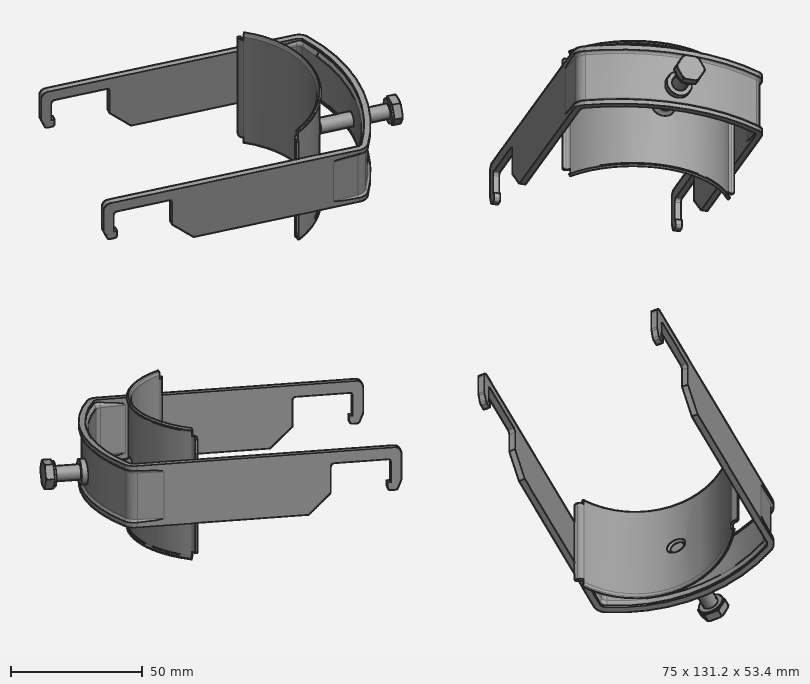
import cadquery as cq
import math


bracket_width = 75.0
strip_thickness = 2.5
bracket_top_z = 15.2
bracket_bottom_z = -9.7
crown_y = 116.0
crown_radius = 72.2
corner_radius = 5.0

press_depth = 1.0
panel_end_y = 92.2
outer_rim_height = 2.0
inner_rim_height = 0.8
outer_press_radius = 1.0
inner_press_radius = 2.1

arm_bottom_end_y = 36.1
slot_start_y = 27.4
slot_end_y = 4.1
slot_top_z = 10.5
slot_radius = 1.3
hook_radius = 2.8
arm_corner_z = -1.5
hook_slant_z = 2.0
hook_slant_y = 1.7
hook_bottom_z = -2.1
lip_y = 5.4
lip_top_z = 1.2
lip_radius = 1.2
slant_radius = 2.6

collar_diameter = 10.0
collar_top_y = 117.2

shank_diameter = 6.0
tip_diameter = 5.5
head_flats = 10.0
head_top_y = 131.2
head_bottom_y = 127.8
head_chamfer = 0.4
flange_diameter = 10.0
flange_bottom_y = 127.0

sheet_thickness = 1.0
saddle_height = 53.4
saddle_crest_y = 97.5
saddle_radius = 37.5
saddle_half_angle = 57.4
flare_projection = 0.7
flare_radius = 1.5
tab_height = 47.0
tab_end_x = 34.2
tab_bend_radius = 1.7
tab_corner_chamfer = 0.7

neck_top_y = 99.3
neck_base_diameter = 9.5
recess_diameter = 7.6
recess_depth = 0.8
saddle_inner_y = saddle_crest_y - sheet_thickness
tip_y = saddle_inner_y + recess_depth


def crown_block(inset, press=0.0):
    """Filled outline of the bent strip, full height, offset inward by inset.

    With a press depth, the crown lies deeper by that depth and the sides lean out to no depth
    at the end of the panel.
    """
    radius = crown_radius - inset - press
    center_y = crown_y - crown_radius
    half_width = bracket_width / 2 - inset
    shoulder_x = half_width - press
    shoulder_y = center_y + math.sqrt(radius**2 - shoulder_x**2)
    block = (
        cq.Workplane("XY", origin=(0, 0, bracket_bottom_z))
        .moveTo(-half_width, 0)
        .lineTo(-half_width, panel_end_y)
        .lineTo(-shoulder_x, shoulder_y)
        .threePointArc((0, center_y + radius), (shoulder_x, shoulder_y))
        .lineTo(half_width, panel_end_y)
        .lineTo(half_width, 0)
        .close()
        .extrude(bracket_top_z - bracket_bottom_z)
    )
    shoulders = cq.selectors.BoxSelector(
        (-bracket_width, shoulder_y - 0.1, bracket_bottom_z - 1.3),
        (bracket_width, shoulder_y + 0.1, bracket_top_z + 1.3),
    )
    return block.edges("|Z").edges(shoulders).fillet(corner_radius - inset)


def pressed_block(inset, rim_height, press_radius):
    """Filled strip outline whose middle band is pressed in, with rounded steps next to the rims."""
    blank = (
        cq.Workplane("XY", origin=(0, 0, bracket_bottom_z + rim_height))
        .rect(2 * bracket_width, 4 * crown_y)
        .extrude(bracket_top_z - bracket_bottom_z - 2 * rim_height)
    )
    die = blank.cut(crown_block(inset, press_depth)).faces("|Z").edges().fillet(press_radius)
    return crown_block(inset).cut(die)


def hook_profile():
    """Side outline of an arm, from the crown to the hook, extruded across the whole bracket."""
    profile = (
        cq.Workplane("YZ")
        .moveTo(crown_y, bracket_bottom_z)
        .lineTo(arm_bottom_end_y, bracket_bottom_z)
        .lineTo(slot_start_y, arm_corner_z)
        .lineTo(slot_start_y, slot_top_z)
        .lineTo(slot_end_y, slot_top_z)
        .lineTo(slot_end_y, lip_top_z)
        .lineTo(lip_y, lip_top_z)
        .lineTo(lip_y, hook_bottom_z)
        .lineTo(hook_slant_y, hook_bottom_z)
        .lineTo(0, hook_slant_z)
        .lineTo(0, bracket_top_z)
        .lineTo(crown_y, bracket_top_z)
        .close()
        .extrude(bracket_width / 2, both=True)
    )
    rounded_corners = [
        (slot_start_y, slot_top_z, slot_radius),
        (slot_end_y, slot_top_z, slot_radius),
        (0, bracket_top_z, hook_radius),
        (0, hook_slant_z, slant_radius),
        (lip_y, hook_bottom_z, lip_radius),
        (hook_slant_y, hook_bottom_z, lip_radius),
    ]
    for y, z, radius in rounded_corners:
        profile = profile.edges(cq.selectors.NearestToPointSelector((0, y, z))).fillet(radius)
    return profile


def cylinder_y(diameter, start_y, end_y):
    """Cylinder on the screw axis."""
    return cq.Workplane("XZ", origin=(0, end_y, 0)).circle(diameter / 2).extrude(end_y - start_y)


def make_bracket():
    """Bent strip with the pressed panel, the hooked arms and the collar for the screw."""
    outside = pressed_block(0, outer_rim_height, outer_press_radius)
    cavity = pressed_block(strip_thickness, inner_rim_height, inner_press_radius)
    collar = cylinder_y(collar_diameter, crown_y - strip_thickness, collar_top_y)
    strip = outside.cut(cavity).intersect(hook_profile())
    return strip.union(collar).cut(cylinder_y(shank_diameter, saddle_crest_y, collar_top_y))


def at_height(z):
    """Selector for the edges of the curved sheet that lie at one height."""
    reach = 2 * saddle_radius
    slack = 0.03
    return cq.selectors.BoxSelector((-reach, -reach, z - slack), (reach, reach, z + slack))


def saddle_arc():
    """Curved sheet, swept from its cross-section with both rims flared outward at 45 degrees."""
    outer = saddle_radius
    inner = saddle_radius - sheet_thickness
    top = saddle_height / 2
    end_step = sheet_thickness * math.sqrt(0.5)
    lip_outer = outer + flare_projection
    center_y = saddle_crest_y - saddle_radius
    lip_inner = lip_outer - end_step
    lip_z = top - end_step
    bend_z = lip_z - flare_projection
    inner_bend_z = top - (lip_inner - inner)
    section = (
        cq.Workplane("YZ")
        .polyline(
            [
                (outer, -bend_z),
                (outer, bend_z),
                (lip_outer, lip_z),
                (lip_inner, top),
                (inner, inner_bend_z),
                (inner, -inner_bend_z),
                (lip_inner, -top),
                (lip_outer, -lip_z),
            ]
        )
        .close()
    )
    sheet = section.revolve(2 * saddle_half_angle, (0, 0, 0), (0, 1, 0))
    for side in (-1, 1):
        sheet = sheet.edges(at_height(side * inner_bend_z)).fillet(flare_radius)
        sheet = sheet.edges(at_height(side * bend_z)).fillet(flare_radius - sheet_thickness)
    return sheet.rotate((0, 0, 0), (0, 0, 1), -saddle_half_angle).translate((0, center_y, 0))


def saddle_tab():
    """Tab on the +X end of the sheet: a bend from the arc, then a flat that points along +X."""
    angle = math.radians(saddle_half_angle)
    center_y = saddle_crest_y - saddle_radius
    pivot_x = (saddle_radius + tab_bend_radius) * math.sin(angle)
    pivot_y = center_y + (saddle_radius + tab_bend_radius) * math.cos(angle)

    def bend_point(radius, turn):
        return (pivot_x - radius * math.sin(turn), pivot_y - radius * math.cos(turn))

    small = tab_bend_radius
    large = tab_bend_radius + sheet_thickness
    tab = (
        cq.Workplane("XY", origin=(0, 0, -tab_height / 2))
        .moveTo(*bend_point(small, angle))
        .threePointArc(bend_point(small, angle / 2), bend_point(small, 0))
        .lineTo(tab_end_x, pivot_y - small)
        .lineTo(tab_end_x, pivot_y - large)
        .lineTo(*bend_point(large, 0))
        .threePointArc(bend_point(large, angle / 2), bend_point(large, angle))
        .close()
        .extrude(tab_height)
    )
    return tab.faces(">X").edges("|Y").chamfer(tab_corner_chamfer)


def cone_y(start_diameter, start_y, end_diameter, end_y):
    """Cone frustum on the screw axis."""
    profile = [(0, start_y), (start_diameter / 2, start_y), (end_diameter / 2, end_y), (0, end_y)]
    return cq.Workplane("XY").polyline(profile).close().revolve(360, (0, 0, 0), (0, 1, 0))


def make_screw():
    """Hex-head screw with a flange below the head and a chamfered tip inside the saddle."""
    head_corners = head_flats / math.cos(math.radians(30))
    hexagon = (
        cq.Workplane("XZ", origin=(0, head_top_y, 0))
        .polygon(6, head_corners)
        .extrude(head_top_y - head_bottom_y)
    )
    chamfered_disc = cylinder_y(head_corners, head_bottom_y, head_top_y).faces(">Y").chamfer(head_chamfer)
    head = hexagon.intersect(chamfered_disc)
    flange = cylinder_y(flange_diameter, flange_bottom_y, head_bottom_y)
    tip_chamfer = (shank_diameter - tip_diameter) / 2
    shank = cylinder_y(shank_diameter, tip_y, flange_bottom_y).faces("<Y").chamfer(tip_chamfer)
    return head.union(flange).union(shank)


def make_saddle():
    """Sheet with both tabs and a conical neck, countersunk around the screw tip."""
    tab = saddle_tab()
    neck_start_y = saddle_crest_y - sheet_thickness / 2
    neck = cone_y(neck_base_diameter, neck_start_y, shank_diameter, neck_top_y)
    sheet = saddle_arc().union(tab).union(tab.mirror("YZ")).union(neck)
    tip_shoulder_y = tip_y + (shank_diameter - tip_diameter) / 2
    countersink = cone_y(recess_diameter, saddle_inner_y, shank_diameter, tip_shoulder_y)
    entry = cylinder_y(recess_diameter, saddle_inner_y - sheet_thickness, saddle_inner_y)
    return sheet.cut(countersink).cut(entry)


bracket = make_bracket()
screw_with_saddle = make_saddle().union(make_screw())
result = cq.Compound.makeCompound([bracket.val(), screw_with_saddle.val()])